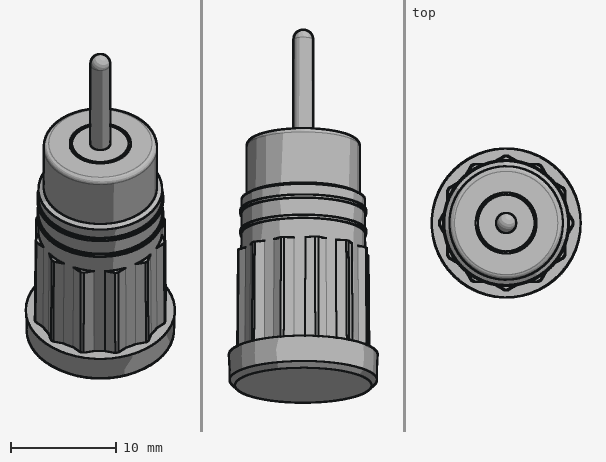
import cadquery as cq
import math

total_height = 35.0
housing_height = 24.0
flange_height = 3.0
rib_top = 13.0
lower_ring_base = 14.9
upper_ring_base = 16.9
shoulder_top = 18.55

flange_diameter = 14.2
flange_lower_diameter = 14.05
core_base_diameter = 11.95
barrel_diameter = 11.8
neck_diameter = 10.8

flange_chamfer = 0.52
neck_fillet = 0.5
shoulder_rise = 0.28
ring_diameter = 12.0
ring_height = 0.3

rib_count = 12
rib_tip_radius = 6.4
rib_draft = 0.087
rib_tip_width = 0.3
rib_flank_angle = 60.0
rib_root_radius = 5.42

contact_diameter = 5.4
pocket_diameter = 5.8
pocket_floor = flange_height
pin_diameter = 1.92


def disc(diameter, base, height):
    """Upright cylinder on the Z axis."""
    return cq.Workplane("XY").workplane(offset=base).circle(diameter / 2).extrude(height)


def make_shell():
    """Turned outside of the housing: flange, tapered core, barrel, shoulder and neck."""
    return (
        cq.Workplane("XZ")
        .moveTo(0, 0)
        .lineTo(flange_lower_diameter / 2 - flange_chamfer, 0)
        .lineTo(flange_lower_diameter / 2, flange_chamfer)
        .lineTo(flange_diameter / 2, flange_height)
        .lineTo(core_base_diameter / 2, flange_height)
        .lineTo(barrel_diameter / 2, lower_ring_base)
        .lineTo(barrel_diameter / 2, shoulder_top - shoulder_rise)
        .lineTo(neck_diameter / 2, shoulder_top)
        .lineTo(neck_diameter / 2, housing_height)
        .lineTo(0, housing_height)
        .close()
        .revolve(360, (0, 0, 0), (0, 1, 0))
        .faces(">Z")
        .edges()
        .fillet(neck_fillet)
    )


def rib_section(workplane, tip_radius, root_radius):
    """Trapezoid pointing along +X, with an arc for its tip."""
    tip_half = rib_tip_width / 2
    tip_corner = math.sqrt(tip_radius**2 - tip_half**2)
    root_half = tip_half + (tip_corner - root_radius) * math.tan(math.radians(rib_flank_angle))
    return (
        workplane.moveTo(root_radius, -root_half)
        .lineTo(tip_corner, -tip_half)
        .threePointArc((tip_radius, 0), (tip_corner, tip_half))
        .lineTo(root_radius, root_half)
        .close()
    )


def make_rib():
    """Rib that leans inward with the draft of the core as it rises."""
    base = cq.Workplane("XY").workplane(offset=flange_height)
    lower = rib_section(base, rib_tip_radius, rib_root_radius)
    upper = lower.workplane(offset=rib_top - flange_height)
    return rib_section(upper, rib_tip_radius - rib_draft, rib_root_radius - rib_draft).loft(ruled=True)


def make_housing():
    housing = make_shell()
    for ring_base in (lower_ring_base, upper_ring_base):
        housing = housing.union(disc(ring_diameter, ring_base, ring_height))
    rib = make_rib()
    for i in range(rib_count):
        housing = housing.union(rib.rotate((0, 0, 0), (0, 0, 1), i * 360 / rib_count))
    return housing.cut(disc(pocket_diameter, pocket_floor, housing_height - pocket_floor))


def make_contact():
    """Cylinder standing on the pocket floor, with a round-ended pin on its top."""
    body = disc(contact_diameter, pocket_floor, housing_height - pocket_floor)
    pin_radius = pin_diameter / 2
    pin = disc(pin_diameter, housing_height, total_height - pin_radius - housing_height)
    dome = cq.Workplane("XY").sphere(pin_radius).translate((0, 0, total_height - pin_radius))
    return body.union(pin).union(dome)


housing = make_housing()
contact = make_contact()

result = cq.Compound.makeCompound([housing.val(), contact.val()])